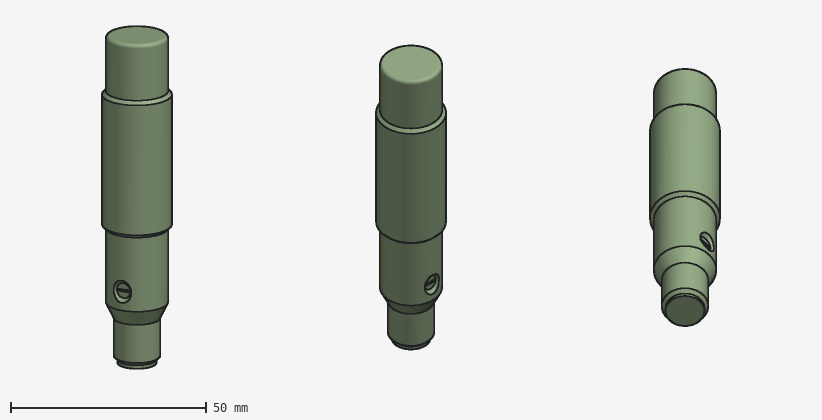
import cadquery as cq

total_length = 88.5
collar_diameter = 18.0
body_diameter = 16.0
neck_diameter = 11.95
spigot_diameter = 10.0

spigot_height = 1.0
neck_top = 12.2
cone_top = 16.5
collar_bottom = 36.5
collar_top = 73.45
top_round = 1.0

recess_height = 21.5
recess_mouth_radius = 3.0
recess_floor_radius = 1.99
slot_length = 3.2
slot_width = 0.5
slot_depth = 0.5

collar_radius = collar_diameter / 2
body_radius = body_diameter / 2
neck_radius = neck_diameter / 2
spigot_radius = spigot_diameter / 2
collar_chamfer = collar_radius - body_radius
neck_chamfer = neck_radius - spigot_radius

recess_depth = recess_mouth_radius - recess_floor_radius
recess_floor_y = -(body_radius - recess_depth)


def make_turned_body():
    """Revolve the stepped half-profile about Z and round the upper rim."""
    profile = [
        (0, 0),
        (spigot_radius, 0),
        (spigot_radius, spigot_height),
        (neck_radius, spigot_height + neck_chamfer),
        (neck_radius, neck_top),
        (body_radius, cone_top),
        (body_radius, collar_bottom),
        (collar_radius, collar_bottom + collar_chamfer),
        (collar_radius, collar_top - collar_chamfer),
        (body_radius, collar_top),
        (body_radius, total_length),
        (0, total_length),
    ]
    body = cq.Workplane("XZ").polyline(profile).close().revolve(360, (0, 0), (0, 1))
    return body.faces(">Z").edges().fillet(top_round)


def make_recess_cutter():
    """Cone that opens toward -Y, from the recess floor to the body surface."""
    cone = cq.Solid.makeCone(
        recess_floor_radius,
        recess_mouth_radius,
        recess_depth,
        pnt=cq.Vector(0, recess_floor_y, recess_height),
        dir=cq.Vector(0, -1, 0),
    )
    return cq.Workplane(obj=cone)


def make_slot_cutter():
    """Narrow horizontal slot sunk into the recess floor."""
    slot = cq.Workplane("XY").box(slot_length, slot_depth, slot_width, centered=(True, False, True))
    return slot.translate((0, recess_floor_y, recess_height))


result = make_turned_body().cut(make_recess_cutter()).cut(make_slot_cutter())